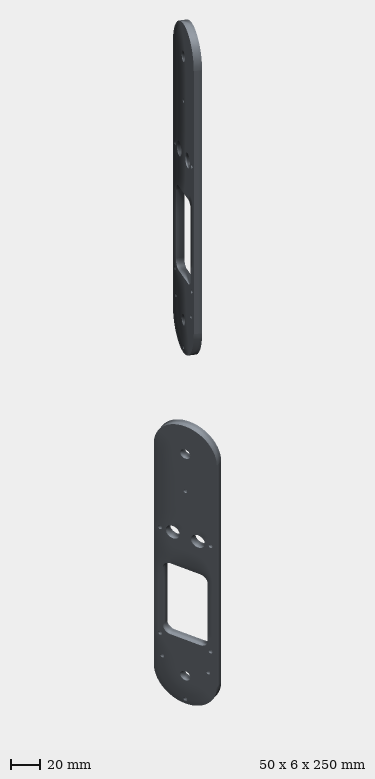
import cadquery as cq

length = 250.0
width = 50.0
thickness = 6.0
end_radius = width / 2
end_center_z = length / 2 - end_radius

window_width = 35.5
window_height = 64.0
window_center_z = -35.5
window_corner_radius = 6.0

mount_diameter = 8.0
large_diameter = 11.0
large_x = 10.0
small_diameter = 3.0
upper_row_z = 25.5
lower_row_z = -69.8
row_x = 20.0
bottom_pair_x = 18.2
bottom_pair_z = -89.5
top_small_z = 66.5
bottom_small_z = -121.0

mount_points = [(0, end_center_z), (0, -end_center_z)]
large_points = [(side * large_x, upper_row_z) for side in (-1, 1)]
small_points = [(0, top_small_z), (0, bottom_small_z)]
for x, z in ((row_x, upper_row_z), (row_x, lower_row_z), (bottom_pair_x, bottom_pair_z)):
    small_points += [(-x, z), (x, z)]


def centered_prism(sketch):
    """Extrude an XZ outline symmetrically through the plate thickness."""
    return sketch.extrude(thickness / 2, both=True)


def make_plate():
    return centered_prism(cq.Workplane("XZ").slot2D(length, width, 90))


def make_window():
    outline = cq.Workplane("XZ").center(0, window_center_z).rect(window_width, window_height)
    return centered_prism(outline).edges("|Y").fillet(window_corner_radius)


def make_holes(points, diameter):
    return centered_prism(cq.Workplane("XZ").pushPoints(points).circle(diameter / 2))


result = make_plate().cut(make_window())
for points, diameter in (
    (mount_points, mount_diameter),
    (large_points, large_diameter),
    (small_points, small_diameter),
):
    result = result.cut(make_holes(points, diameter))